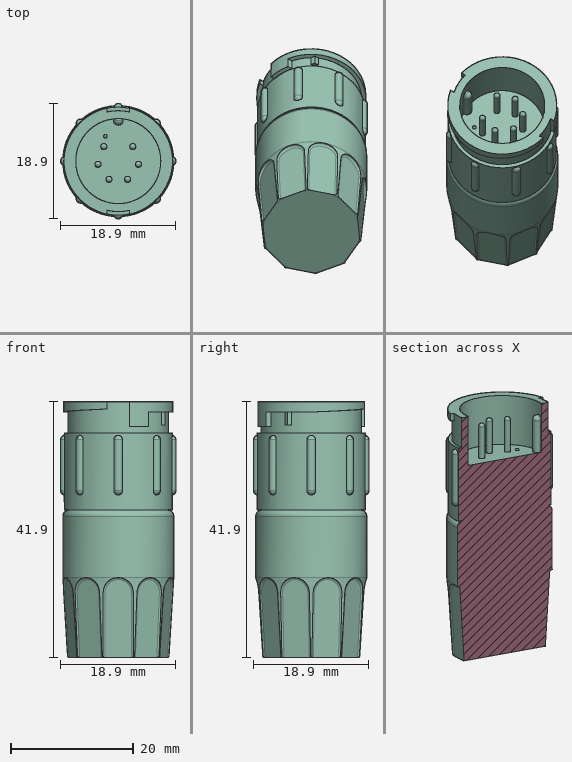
import cadquery as cq
import math

TOTAL_HEIGHT = 41.9
OVERALL_WIDTH = 18.9

GRIP_BASE_RADIUS = 8.3
SLEEVE_RADIUS = 9.1
RING_RADIUS = 8.85
NECK_RADIUS = 8.25
SLEEVE_BOTTOM_Z = 13.1
SLEEVE_TOP_Z = 24.2
SLEEVE_ROUND = 1.05
RING_TOP_Z = 36.75
GRIP_BASE_ROUND = 0.38

FLAT_COUNT = 10
FLAT_HALF_WIDTH = 2.5
FLAT_BASE_DISTANCE = 7.75
FLAT_TOP_DISTANCE = 8.6
FLAT_EDGE_ROUND = 0.35
FLAT_CUT_DEPTH = 2.5
FLAT_OVERRUN = 1.25

RIB_COUNT = 8
RIB_RADIUS = 0.7
RIB_TIP_DISTANCE = OVERALL_WIDTH / 2
RIB_BOTTOM_Z = 26.6
RIB_TOP_Z = 36.38

FLANGE_RADIUS = 8.93
FLANGE_THICKNESS = 1.7
RAMP_RISE = 0.5
ENTRY_HALF_WIDTH = 1.8
STOP_FAR_X = 4.95
STOP_HEIGHT = 4.1
BUMP_HEIGHT = 3.85
BUMP_ANGLE = 27.1
BUMP_HALF_ANGLE = 4.3
BUMP_TIP_RADIUS = 8.6

CAVITY_RADIUS = 6.95
CAVITY_FLOOR_Z = 33.53
PIN_COUNT = 6
PIN_RADIUS = 0.5
PIN_CIRCLE_RADIUS = 3.35
PIN_FIRST_ANGLE = 45.0
PIN_PITCH_ANGLE = 54.0
PIN_DOME_Z = 38.98
KEY_RADIUS = 0.8
KEY_Y = 6.65
DOT_X = -2.1
DOT_Y = 4.05
DOT_RADIUS = 0.3

EMBED = 0.2


def polar(radius, angle):
    a = math.radians(angle)
    return (radius * math.cos(a), radius * math.sin(a))


def disc(radius, bottom, top):
    return cq.Workplane("XY").workplane(offset=bottom).circle(radius).extrude(top - bottom)


def ball(radius, x, y, z):
    return cq.Workplane("XY").sphere(radius).translate((x, y, z))


def opposite_pair(shape):
    """The shape together with its copy half a turn around the axis."""
    return shape.union(shape.rotate((0, 0, 0), (0, 0, 1), 180))


def make_shell():
    grip = (
        cq.Workplane("XY")
        .circle(GRIP_BASE_RADIUS)
        .workplane(offset=SLEEVE_BOTTOM_Z)
        .circle(SLEEVE_RADIUS)
        .loft()
        .faces("<Z")
        .edges()
        .fillet(GRIP_BASE_ROUND)
    )
    sleeve = disc(SLEEVE_RADIUS, SLEEVE_BOTTOM_Z, SLEEVE_TOP_Z).faces(">Z").edges().fillet(SLEEVE_ROUND)
    ring = disc(RING_RADIUS, SLEEVE_TOP_Z, RING_TOP_Z)
    neck = disc(NECK_RADIUS, RING_TOP_Z, TOTAL_HEIGHT)
    return grip.cut(make_grip_flats()).union(sleeve).union(ring).union(neck)


def make_grip_flats():
    """Arched cutters whose floors lean inward towards the cable end."""
    lean = math.atan2(FLAT_TOP_DISTANCE - FLAT_BASE_DISTANCE, SLEEVE_BOTTOM_Z)
    floor = cq.Plane(
        origin=(FLAT_BASE_DISTANCE, 0, 0),
        xDir=(0, 1, 0),
        normal=(math.cos(lean), 0, -math.sin(lean)),
    )
    arch_top = SLEEVE_BOTTOM_Z / math.cos(lean)
    arch_spring = arch_top - FLAT_HALF_WIDTH
    cutter = (
        cq.Workplane(floor)
        .moveTo(-FLAT_HALF_WIDTH, -FLAT_OVERRUN)
        .lineTo(FLAT_HALF_WIDTH, -FLAT_OVERRUN)
        .lineTo(FLAT_HALF_WIDTH, arch_spring)
        .threePointArc((0, arch_top), (-FLAT_HALF_WIDTH, arch_spring))
        .close()
        .extrude(FLAT_CUT_DEPTH)
        .faces("<X")
        .edges()
        .fillet(FLAT_EDGE_ROUND)
    )
    pitch = 360 / FLAT_COUNT
    cutters = cq.Workplane("XY")
    for i in range(FLAT_COUNT):
        cutters = cutters.add(cutter.rotate((0, 0, 0), (0, 0, 1), -90 + i * pitch))
    return cutters.combine()


def make_ribs():
    """Round bars with ball ends, half sunk into the coupling ring."""
    ribs = cq.Workplane("XY")
    low = RIB_BOTTOM_Z + RIB_RADIUS
    high = RIB_TOP_Z - RIB_RADIUS
    for i in range(RIB_COUNT):
        x, y = polar(RIB_TIP_DISTANCE - RIB_RADIUS, i * 360 / RIB_COUNT)
        bar = disc(RIB_RADIUS, low, high).translate((x, y, 0))
        rib = bar.union(ball(RIB_RADIUS, x, y, low)).union(ball(RIB_RADIUS, x, y, high))
        ribs = ribs.union(rib)
    return ribs


def make_ramp_cutter():
    """Swept bar that thins the flange gradually towards the entry slot."""
    sweep_angle = 90 - math.degrees(math.asin(ENTRY_HALF_WIDTH / FLANGE_RADIUS))
    helix = cq.Wire.makeHelix(RAMP_RISE * 360 / sweep_angle, RAMP_RISE, FLANGE_RADIUS)
    inner = NECK_RADIUS - 2 * EMBED
    outer = FLANGE_RADIUS + 2 * EMBED
    bar = (
        cq.Workplane("XZ")
        .moveTo(inner, 0)
        .lineTo(outer, 0)
        .lineTo(outer, -FLANGE_THICKNESS)
        .lineTo(inner, -FLANGE_THICKNESS)
        .close()
        .sweep(cq.Workplane(helix), isFrenet=True)
    )
    return bar.translate((0, 0, TOTAL_HEIGHT - FLANGE_THICKNESS))


def make_bayonet():
    inner = NECK_RADIUS - EMBED
    flange = disc(FLANGE_RADIUS, TOTAL_HEIGHT - FLANGE_THICKNESS, TOTAL_HEIGHT)
    flange = flange.cut(opposite_pair(make_ramp_cutter()))

    entry_slot = cq.Workplane("XY").box(2 * ENTRY_HALF_WIDTH, OVERALL_WIDTH, 2 * TOTAL_HEIGHT + 2 * EMBED)
    flange = flange.cut(entry_slot)

    stop_band = (
        cq.Workplane("XY")
        .moveTo((ENTRY_HALF_WIDTH + STOP_FAR_X) / 2, -FLANGE_RADIUS / 2)
        .rect(STOP_FAR_X - ENTRY_HALF_WIDTH, FLANGE_RADIUS)
        .extrude(TOTAL_HEIGHT)
    )
    stop = disc(FLANGE_RADIUS, TOTAL_HEIGHT - STOP_HEIGHT, TOTAL_HEIGHT).intersect(stop_band)

    bump = (
        cq.Workplane("XY")
        .workplane(offset=TOTAL_HEIGHT - BUMP_HEIGHT)
        .polyline([
            polar(inner, -BUMP_ANGLE - BUMP_HALF_ANGLE),
            polar(NECK_RADIUS, -BUMP_ANGLE - BUMP_HALF_ANGLE),
            polar(BUMP_TIP_RADIUS, -BUMP_ANGLE),
            polar(NECK_RADIUS, -BUMP_ANGLE + BUMP_HALF_ANGLE),
            polar(inner, -BUMP_ANGLE + BUMP_HALF_ANGLE),
        ])
        .close()
        .extrude(BUMP_HEIGHT - FLANGE_THICKNESS + EMBED)
    )
    return flange.union(opposite_pair(stop)).union(opposite_pair(bump))


def make_pins():
    pins = cq.Workplane("XY")
    for i in range(PIN_COUNT):
        x, y = polar(PIN_CIRCLE_RADIUS, PIN_FIRST_ANGLE - i * PIN_PITCH_ANGLE)
        shaft = disc(PIN_RADIUS, CAVITY_FLOOR_Z - EMBED, PIN_DOME_Z).translate((x, y, 0))
        pins = pins.union(shaft.union(ball(PIN_RADIUS, x, y, PIN_DOME_Z)))
    return pins


def make_key():
    """Round-topped key standing against the cavity wall."""
    depth = CAVITY_RADIUS + EMBED - KEY_Y
    bar = disc(KEY_RADIUS, CAVITY_FLOOR_Z - EMBED, PIN_DOME_Z).translate((0, KEY_Y, 0))
    web = (
        cq.Workplane("XZ", origin=(0, KEY_Y, 0))
        .moveTo(-KEY_RADIUS, CAVITY_FLOOR_Z - EMBED)
        .lineTo(KEY_RADIUS, CAVITY_FLOOR_Z - EMBED)
        .lineTo(KEY_RADIUS, PIN_DOME_Z)
        .threePointArc((0, PIN_DOME_Z + KEY_RADIUS), (-KEY_RADIUS, PIN_DOME_Z))
        .close()
        .extrude(-depth)
    )
    return bar.union(ball(KEY_RADIUS, 0, KEY_Y, PIN_DOME_Z)).union(web)


body = make_shell().union(make_ribs()).union(make_bayonet())
body = body.cut(disc(CAVITY_RADIUS, CAVITY_FLOOR_Z, TOTAL_HEIGHT))
contacts = make_pins().union(make_key()).union(ball(DOT_RADIUS, DOT_X, DOT_Y, CAVITY_FLOOR_Z))
result = body.union(contacts)